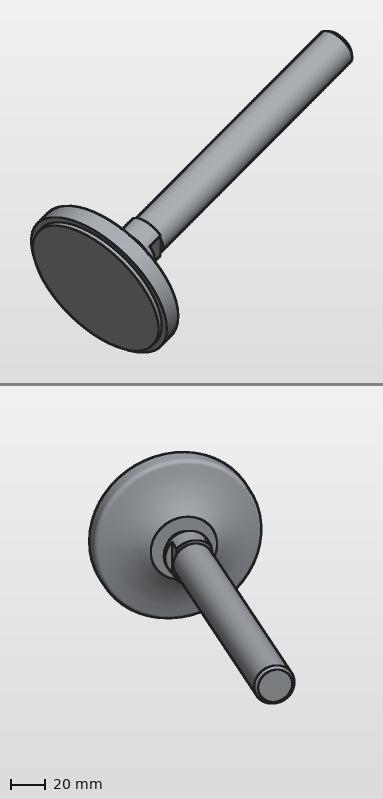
import cadquery as cq
import math


pad_diameter = 92.5
pad_height = 3.0
base_diameter = 100.0
rim_top = 12.5
rim_round_radius = 3
rim_slope_angle = math.radians(8)
base_top = 26.5
base_top_diameter = 39.5

ball_diameter = 22.0
ball_centre = 24.0
neck_diameter = 17.0

collar_diameter = 28.0
collar_bottom = 33.5
collar_top = 47.0
flats_bottom = 37.0
across_flats = 20.0

overall_length = 222.0
stud_diameter = 24.0
stud_chamfer = 1.84


def cylinder(diameter, bottom, top):
    """Cylinder on the Y axis between two heights."""
    axis = cq.Vector(0, 1, 0)
    return cq.Workplane(cq.Solid.makeCylinder(diameter / 2, top - bottom, cq.Vector(0, bottom, 0), axis))


def make_base():
    """Pad, cylindrical rim, rounded shoulder and concave flank, revolved about Y."""
    base_radius = base_diameter / 2
    round_centre_x = base_radius - rim_round_radius

    def rim_round_point(angle):
        """Point on the rim round, at an angle measured from +Y towards +X."""
        x = round_centre_x + rim_round_radius * math.sin(angle)
        y = rim_top + rim_round_radius * math.cos(angle)
        return (x, y)

    round_middle_angle = (rim_slope_angle + math.pi / 2) / 2
    profile = (
        cq.Workplane("XY")
        .lineTo(pad_diameter / 2, 0)
        .lineTo(pad_diameter / 2, pad_height)
        .lineTo(base_radius, pad_height)
        .lineTo(base_radius, rim_top)
        .threePointArc(rim_round_point(round_middle_angle), rim_round_point(rim_slope_angle))
        .tangentArcPoint((base_top_diameter / 2, base_top), relative=False)
        .lineTo(0, base_top)
        .close()
    )
    return profile.revolve(360, (0, 0, 0), (0, 1, 0))


def make_ball_and_neck():
    """Ball seated in the base, carrying the neck up to the collar."""
    ball = cq.Workplane("XZ", origin=(0, ball_centre, 0)).sphere(ball_diameter / 2)
    neck = cylinder(neck_diameter, ball_centre, collar_bottom)
    return ball.union(neck)


def make_collar():
    """Round collar whose upper part is cut to two flats facing -X and +X."""
    flange = cylinder(collar_diameter, collar_bottom, flats_bottom)
    flats_height = collar_top - flats_bottom
    flats_middle = (flats_bottom + collar_top) / 2
    flats_limit = cq.Workplane("XY", origin=(0, flats_middle, 0)).box(
        across_flats, flats_height, collar_diameter
    )
    flatted_part = cylinder(collar_diameter, flats_bottom, collar_top).intersect(flats_limit)
    return flange.union(flatted_part)


def make_stud():
    """Plain stud with a chamfered free end."""
    return cylinder(stud_diameter, collar_top, overall_length).faces(">Y").chamfer(stud_chamfer)


result = make_base().union(make_ball_and_neck()).union(make_collar()).union(make_stud())